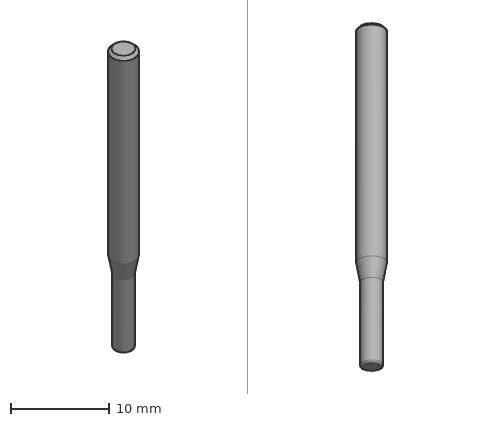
import cadquery as cq
import math

total_length = 38.1
shank_diameter = 3.175
tip_diameter = 2.38125

tip_length = 9.525
taper_half_angle = 10

shank_chamfer = 0.381
tip_corner_radius = 0.254

shank_radius = shank_diameter / 2
tip_radius = tip_diameter / 2
taper_length = (shank_radius - tip_radius) / math.tan(math.radians(taper_half_angle))
shank_start = tip_length + taper_length


def turned_blank():
    """Shank, taper and tip revolved in one piece around the Z axis."""
    half_profile = (
        cq.Workplane("XZ")
        .moveTo(0, 0)
        .lineTo(tip_radius, 0)
        .lineTo(tip_radius, tip_length)
        .lineTo(shank_radius, shank_start)
        .lineTo(shank_radius, total_length)
        .lineTo(0, total_length)
        .close()
    )
    return half_profile.revolve(360, (0, 0, 0), (0, 1, 0))


def chamfer_shank_end(body):
    """Bevel the free end of the shank at 45 degrees."""
    return body.faces(">Z").edges().chamfer(shank_chamfer)


def round_tip_corner(body):
    """Round the corner of the tip end face."""
    return body.faces("<Z").edges().fillet(tip_corner_radius)


result = round_tip_corner(chamfer_shank_end(turned_blank()))